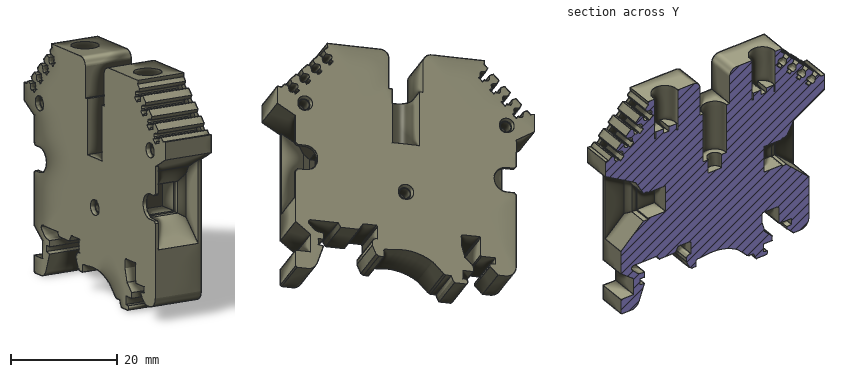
import cadquery as cq
import math


width = 10.2
height = 46.0
ear_half_span = 25.2
body_half_span = 21.6
seat_z = 10.3

ear_top_z = 36.25
ear_low_z = 32.75
ear_root_z = 30.65
shoulder_drop = height - ear_top_z
shoulder_x = ear_half_span - shoulder_drop
lip_run = 0.75
lip_drop = 0.1

groove_count = 4
groove_pitch = 3.1
ridge_height = 0.75
neck_depth = 1.35
neck_half = 0.5
mouth_half = 0.75
bulb_top_depth = 0.6
bulb_half = 1.0
bulb_mid_half = 1.05
bulb_mid_depth = 0.95
bulb_low_half = 0.7
bulb_depth = 1.35
key_half = 0.55
key_neck_half = 0.43
groove_depth = 1.95
mouth_overcut = 0.5
web_thickness = 0.75

slot_half = 3.35
slot_floor_z = 38.25
slot_corner_radius = 1.7
bridge_pocket_diameter = 5.3
bridge_pocket_y = 4.4
bridge_pocket_floor_z = 27.35
bridge_hole_diameter = 3.0
bridge_hole_depth = 3.0

clamp_y = 4.8
screw_x = 11.2
screw_hole_diameter = 5.3
screw_head_diameter = 4.95
screw_head_depth = 7.55
screw_gap_depth = 1.5
screw_slot_width = 1.1
screw_slot_depth = 1.0

side_wall = 0.7
entry_low_z = 14.35
entry_knee_depth = 3.45
entry_depth = 5.2
flare_slope = 1.5
socket_width = 6.75
socket_low_z = 19.25
socket_high_z = 25.45
socket_step = 0.25
socket_step_depth = 1.0
socket_depth = 4.05

notch_radius = 2.45
notch_z = 22.45
notch_reach = 4.35
notch_chamfer = 0.4

pin_x = 19.75
pin_z = 33.4
center_pin_z = 17.7
side_pin_mouth = 2.85
center_pin_mouth = 3.0
pin_cone_end = 2.3
pin_cone_depth = 0.8
pin_bore = 2.05
pin_bore_depth = 4.05


def profile(x=0.0, z=0.0):
    """Sketch in the XZ plane; extruding by a negative length runs from the front face back."""
    return cq.Workplane("XZ").moveTo(x, z)


def both_ends(solid):
    return solid.union(solid.mirror("YZ"))


def housing():
    """Main block with the ears and sloped shoulders."""
    inset = (neck_depth - ridge_height) * math.sqrt(2)
    half = (
        profile(0, seat_z)
        .lineTo(-body_half_span, seat_z)
        .lineTo(-body_half_span, ear_root_z)
        .lineTo(-ear_half_span, ear_low_z)
        .lineTo(-ear_half_span, ear_top_z)
        .threePointArc(
            (-ear_half_span + lip_run / 2, ear_top_z - lip_drop / 4),
            (-ear_half_span + lip_run, ear_top_z - lip_drop),
        )
        .lineTo(-ear_half_span + lip_run, ear_top_z + lip_run - inset)
        .lineTo(-shoulder_x - lip_run + inset, height - lip_run)
        .lineTo(-shoulder_x + lip_drop, height - lip_run)
        .threePointArc(
            (-shoulder_x + lip_drop / 4, height - lip_run / 2),
            (-shoulder_x, height),
        )
        .lineTo(0, height)
        .close()
        .extrude(-width)
    )
    return both_ends(half)


def left_foot():
    """Springy hook that snaps under the rail, with the stepped pad beside it."""
    return (
        profile(-body_half_span, seat_z)
        .lineTo(-body_half_span, 9.2)
        .lineTo(-18.7, 6.95)
        .lineTo(-18.7, 3.45)
        .lineTo(-body_half_span, 3.45)
        .lineTo(-body_half_span, 0.25)
        .lineTo(-21.35, 0)
        .lineTo(-18.9, 0)
        .threePointArc((-17.95, 0.5), (-17.35, 1.4))
        .lineTo(-16.15, 4.9)
        .lineTo(-17.2, 5.15)
        .lineTo(-17.2, 6.3)
        .lineTo(-16.15, 6.3)
        .lineTo(-16.15, 7.5)
        .lineTo(-17.15, 7.65)
        .threePointArc((-17.75, 7.9), (-18.25, 8.35))
        .lineTo(-18.95, 9.05)
        .threePointArc((-19.05, 9.65), (-18.7, 9.95))
        .lineTo(-13.3, 9.95)
        .lineTo(-12.75, 9.05)
        .lineTo(-9.05, 9.05)
        .lineTo(-8.35, seat_z)
        .close()
        .extrude(-width)
    )


def center_foot():
    """Arched web with a small hook on the left and the rail hook on the right."""
    return (
        profile(-5.8, seat_z)
        .lineTo(-5.55, 10.05)
        .lineTo(-5.55, 7.55)
        .threePointArc((-6.25, 7.4), (-6.6, 6.9))
        .lineTo(-6.6, 6.15)
        .lineTo(-5.85, 4.45)
        .lineTo(-5.3, 4.1)
        .lineTo(-4.35, 4.1)
        .lineTo(-4.35, 5.25)
        .threePointArc((-4.25, 5.55), (-3.95, 5.65))
        .lineTo(-2.55, 5.75)
        .threePointArc((1.7, 5.65), (5.3, 4.1))
        .lineTo(7.4, 1.95)
        .lineTo(7.8, 1.75)
        .lineTo(8.85, 1.75)
        .lineTo(9.15, 0.95)
        .lineTo(9.55, 0.4)
        .lineTo(11.65, 0.4)
        .threePointArc((12.15, 0.8), (11.9, 1.3))
        .lineTo(11.2, 1.4)
        .lineTo(11.2, 3.05)
        .lineTo(13.2, 3.05)
        .lineTo(13.2, 4.2)
        .lineTo(11.55, 5.8)
        .lineTo(10.85, 8.3)
        .lineTo(10.85, 10.05)
        .lineTo(11.1, seat_z)
        .close()
        .extrude(-width)
    )


def right_foot():
    """Fixed rail hook under the right end."""
    return (
        profile(14.4, seat_z)
        .lineTo(14.6, 10.05)
        .lineTo(14.6, 6.55)
        .lineTo(14.8, 6.35)
        .lineTo(17.55, 6.35)
        .lineTo(17.55, 5.15)
        .lineTo(16.5, 5.0)
        .lineTo(16.5, 4.5)
        .lineTo(18.05, 2.9)
        .lineTo(19.6, 2.9)
        .threePointArc((21.0, 3.55), (body_half_span, 4.95))
        .lineTo(body_half_span, seat_z)
        .close()
        .extrude(-width)
    )


def grip_grooves():
    """Undercut grooves of the left shoulder; only their mouths run through the back web."""
    middle_x = -(ear_half_span + shoulder_x) / 2 + neck_depth / math.sqrt(2)
    middle_z = (height + ear_top_z) / 2 - neck_depth / math.sqrt(2)
    slope = cq.Plane(
        origin=(middle_x, 0, middle_z),
        xDir=(1, 0, 1),
        normal=(0, -1, 0),
    )
    first = -(groove_count - 1) / 2 * groove_pitch
    centers = [(first + i * groove_pitch, 0) for i in range(groove_count)]
    mouth_outline = [
        (-neck_half, 0),
        (-mouth_half, ridge_height),
        (-mouth_half, ridge_height + mouth_overcut),
        (mouth_half, ridge_height + mouth_overcut),
        (mouth_half, ridge_height),
        (neck_half, 0),
    ]
    grooves = None
    for center in centers:
        mouth = cq.Workplane(slope).center(*center).polyline(mouth_outline).close().extrude(-width)
        key = (
            cq.Workplane(slope)
            .center(*center)
            .moveTo(-neck_half, 0)
            .lineTo(neck_half, 0)
            .lineTo(bulb_half, -bulb_top_depth)
            .threePointArc((bulb_mid_half, -bulb_mid_depth), (bulb_low_half, -bulb_depth))
            .lineTo(key_neck_half, -bulb_depth)
            .lineTo(key_half, -groove_depth)
            .lineTo(-key_half, -groove_depth)
            .lineTo(-key_neck_half, -bulb_depth)
            .lineTo(-bulb_low_half, -bulb_depth)
            .threePointArc((-bulb_mid_half, -bulb_mid_depth), (-bulb_half, -bulb_top_depth))
            .close()
            .extrude(web_thickness - width)
        )
        groove = mouth.union(key)
        grooves = groove if grooves is None else grooves.union(groove)
    return grooves


def top_slot():
    """Slot between the two towers, with rounded upper corners."""
    half = (
        profile(0, slot_floor_z)
        .lineTo(slot_half, slot_floor_z)
        .lineTo(slot_half, height - slot_corner_radius)
        .radiusArc((slot_half + slot_corner_radius, height), slot_corner_radius)
        .lineTo(0, height)
        .close()
        .extrude(-width)
    )
    return both_ends(half)


def bridge_pocket():
    """U-shaped pocket below the slot, open to the front, with a hole in its floor."""
    pocket_height = slot_floor_z - bridge_pocket_floor_z
    floor = cq.Workplane("XY", origin=(0, bridge_pocket_y, bridge_pocket_floor_z))
    round_end = floor.circle(bridge_pocket_diameter / 2).extrude(pocket_height)
    opening = cq.Workplane("XY").box(
        bridge_pocket_diameter, bridge_pocket_y, pocket_height, centered=(True, False, False)
    )
    opening = opening.translate((0, 0, bridge_pocket_floor_z))
    hole = floor.circle(bridge_hole_diameter / 2).extrude(-bridge_hole_depth)
    return round_end.union(opening).union(hole)


def screw_well():
    """Left screw hole with a slotted screw head left standing at its bottom."""
    top = cq.Workplane("XY", origin=(-screw_x, clamp_y, height))
    well = top.circle(screw_hole_diameter / 2).extrude(-screw_head_depth - screw_gap_depth)
    head_plane = cq.Workplane("XY", origin=(-screw_x, clamp_y, height - screw_head_depth))
    head = head_plane.circle(screw_head_diameter / 2).extrude(-screw_gap_depth)
    slot = head_plane.rect(screw_slot_width, screw_head_diameter).extrude(-screw_slot_depth)
    return well.cut(head.cut(slot))


def wire_entry():
    """Funnel in the left end face leading to a stepped rectangular socket."""
    face_x = -body_half_span
    ear_slope = (ear_low_z - ear_root_z) / (ear_half_span - body_half_span)
    knee_z = ear_root_z - ear_slope * entry_knee_depth
    socket_x = face_x + entry_depth
    funnel = (
        profile(face_x, entry_low_z)
        .lineTo(socket_x, socket_low_z)
        .lineTo(socket_x, socket_high_z)
        .lineTo(face_x + entry_knee_depth, knee_z)
        .lineTo(face_x, ear_root_z)
        .close()
        .extrude(-(width - 2 * side_wall))
        .translate((0, side_wall, 0))
    )
    flare = flare_slope * entry_depth
    socket_front_y = clamp_y - socket_width / 2
    socket_back_y = clamp_y + socket_width / 2
    cheeks = (
        cq.Workplane("XY")
        .moveTo(face_x, socket_front_y - flare)
        .lineTo(socket_x, socket_front_y)
        .lineTo(socket_x, socket_back_y)
        .lineTo(face_x, socket_back_y + flare)
        .close()
        .extrude(height)
    )
    socket_height = socket_high_z - socket_low_z
    socket_plane = cq.Workplane("YZ", origin=(socket_x, clamp_y, socket_low_z + socket_height / 2))
    mouth = socket_plane.rect(socket_width, socket_height).extrude(socket_step_depth)
    tube = socket_plane.rect(
        socket_width - 2 * socket_step, socket_height - 2 * socket_step
    ).extrude(socket_step_depth + socket_depth)
    return funnel.intersect(cheeks).union(mouth).union(tube)


def inspection_notch():
    """Round-ended notch through the front wall into the left wire entry."""
    face_x = -body_half_span
    round_x = face_x + notch_reach - notch_radius
    low_z = notch_z - notch_radius
    high_z = notch_z + notch_radius
    return (
        profile(face_x, low_z - notch_chamfer)
        .lineTo(face_x + notch_chamfer, low_z)
        .lineTo(round_x, low_z)
        .threePointArc((face_x + notch_reach, notch_z), (round_x, high_z))
        .lineTo(face_x + notch_chamfer, high_z)
        .lineTo(face_x, high_z + notch_chamfer)
        .close()
        .extrude(-side_wall)
    )


def pin_hole(x, z, mouth_diameter):
    """Tapered mouth followed by a slightly narrower blind bore."""
    front = cq.Workplane("XZ", origin=(x, 0, z))
    cone = (
        front.circle(mouth_diameter / 2)
        .workplane(offset=-pin_cone_depth)
        .circle(pin_cone_end / 2)
        .loft()
    )
    bore = front.circle(pin_bore / 2).extrude(-pin_bore_depth)
    return cone.union(bore)


body = housing().union(left_foot()).union(center_foot()).union(right_foot())
body = body.cut(top_slot()).cut(bridge_pocket())
for end_feature in (grip_grooves(), screw_well(), wire_entry(), inspection_notch()):
    body = body.cut(end_feature).cut(end_feature.mirror("YZ"))
for side in (-1, 1):
    body = body.cut(pin_hole(side * pin_x, pin_z, side_pin_mouth))
body = body.cut(pin_hole(0, center_pin_z, center_pin_mouth))

result = body